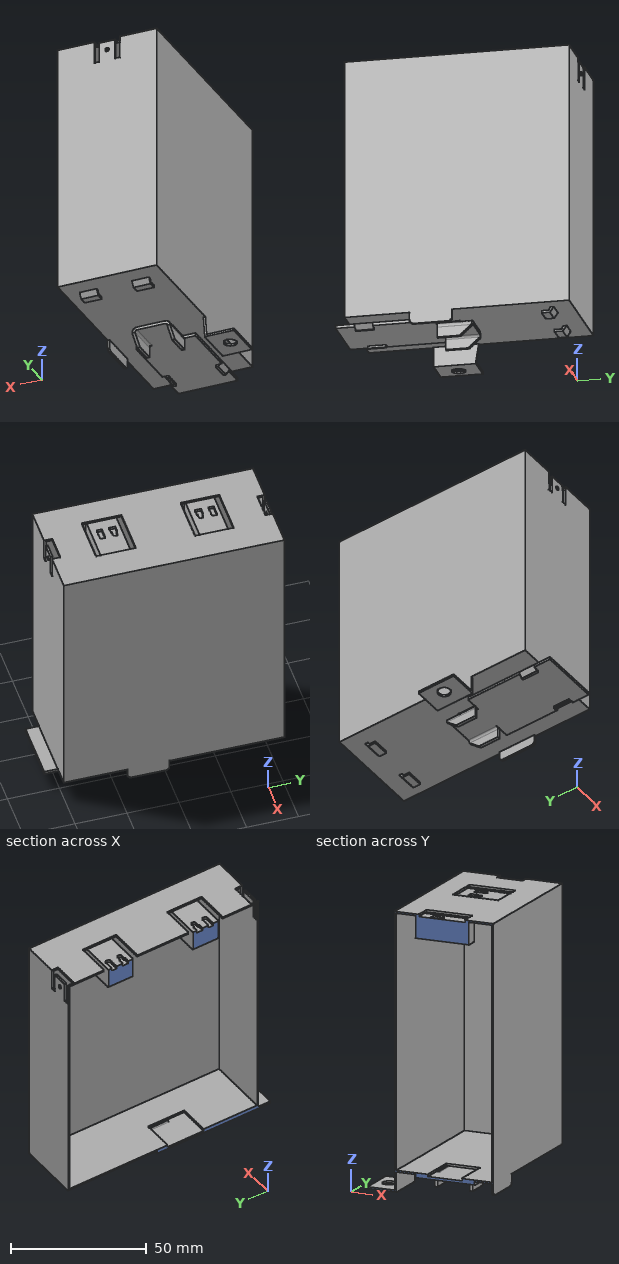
import cadquery as cq

WIDTH = 40.2
DEPTH = 85.0
HEIGHT = 100.0
WALL = 0.9
MID_X = WIDTH / 2
EMBED = WALL / 2

LATCH_WIDTH = 10.4
LATCH_SLOT_WIDTH = 2.0
LATCH_SLOT_DROP = 8.8
FRONT_LATCH_REACH = 3.2
BACK_LATCH_REACH = 2.8
LATCH_HOLE_DIAMETER = 1.5
LATCH_HOLE_DROP = 4.4

SOCKET_LEFT = 10.0
SOCKET_LENGTH = 18.5
SOCKET_GAP = 1.9
FRONT_SOCKET_START = 16.0
FRONT_SOCKET_END = 31.3
BACK_SOCKET_START = 54.1
BACK_SOCKET_END = 69.0
CONNECTOR_HEIGHT = 8.6
CONNECTOR_END_LAP = 1.6

CONTACT_LEFT = 14.4
CONTACT_LENGTH = 4.8
CONTACT_WIDTH = 2.0
CONTACT_DEPTH = 1.1
CONTACT_CORNER_RADIUS = 0.6
KEY_LENGTH = 2.5
KEY_WIDTH = 2.5
KEYED_STEM_WIDTH = 1.7
FRONT_PLAIN_Y = 21.4
FRONT_KEYED_Y = 26.4
BACK_KEYED_Y = 59.4
BACK_PLAIN_Y = 64.5

FLOOR_WINDOW_WIDTH = 13.7

BRACKET_DROP = 7.6
BRACKET_REACH = 11.0
BRACKET_FRONT = 24.6
BRACKET_BACK = 40.7
BRACKET_ROOT_BACK = 41.7
BRACKET_HOLE_DIAMETER = 5.1
BRACKET_HOLE_X = -5.9

TAB_DROP = 4.4
TAB_SLOPE = 1.0

PLATE_MID_X = 20.4
PLATE_WIDTH = 24.1
PLATE_THICKNESS = 1.2
PLATE_OVERHANG = 5.2
PLATE_BACK = 45.3
FITTING_DROP = 2.0

SIDE_TAB_FRONT = 2.0
SIDE_TAB_BACK = 8.9
SIDE_TAB_WIDTH = 2.5
SIDE_TAB_LEAN = 1.5

LUG_SPAN = 15.4
LUG_THICKNESS = 1.2
LUG_DROP = 6.0
LUG_FRONT = 32.3
LUG_TIP_BACK = 40.9

CLIP_SPAN = 28.1
CLIP_WIDTH = 6.9
CLIP_FRONT = 73.3
CLIP_BACK = 77.9
CLIP_BEND = 1.5
CLIP_SLOPE_WIDTH = 1.3


def block(x_start, x_end, y_start, y_end, z_start, z_end):
    size = (x_end - x_start, y_end - y_start, z_end - z_start)
    return cq.Workplane("XY").box(*size, centered=False).translate((x_start, y_start, z_start))


def side_profile(points, x_start, thickness):
    """Extrude a (Y, Z) outline along +X."""
    return cq.Workplane("YZ", origin=(x_start, 0, 0)).polyline(points).close().extrude(thickness)


def mirrored_pair(fitting):
    """Return the left fitting and its mirror image about the plate's centre plane."""
    return fitting.union(fitting.mirror("YZ", (PLATE_MID_X, 0, 0)))


def front_latch(reach):
    """Material removed around a latch tongue in the front wall."""
    left = MID_X - LATCH_WIDTH / 2
    right = MID_X + LATCH_WIDTH / 2
    cutter = block(left, right, 0, reach, HEIGHT - WALL, HEIGHT)
    for slot_left in (left, right - LATCH_SLOT_WIDTH):
        slot_right = slot_left + LATCH_SLOT_WIDTH
        slot = block(slot_left, slot_right, 0, WALL, HEIGHT - LATCH_SLOT_DROP, HEIGHT)
        cutter = cutter.union(slot)
    hole = (
        cq.Workplane("XZ", origin=(MID_X, 0, HEIGHT - LATCH_HOLE_DROP))
        .circle(LATCH_HOLE_DIAMETER / 2)
        .extrude(-WALL)
    )
    return cutter.union(hole)


def socket_window(y_start, y_end):
    """Rectangular opening through the top wall."""
    right = SOCKET_LEFT + SOCKET_LENGTH
    return block(SOCKET_LEFT, right, y_start, y_end, HEIGHT - WALL, HEIGHT)


def contact_slot(y, keyed):
    """Contact slot with a rounded right end and, when keyed, a wider left end."""
    top = HEIGHT - WALL
    bottom = top - CONTACT_DEPTH
    half_width = (KEYED_STEM_WIDTH if keyed else CONTACT_WIDTH) / 2
    right = CONTACT_LEFT + CONTACT_LENGTH
    slot = block(CONTACT_LEFT, right, y - half_width, y + half_width, bottom, top)
    slot = slot.edges("|Z and >X").fillet(CONTACT_CORNER_RADIUS)
    if keyed:
        key_right = CONTACT_LEFT + KEY_LENGTH
        key = block(CONTACT_LEFT, key_right, y - KEY_WIDTH / 2, y + KEY_WIDTH / 2, bottom, top)
        slot = slot.union(key)
    return slot


def connector(window_start, window_end, plain_y, keyed_y):
    """Connector block under a window, held by the top wall at its two ends."""
    left = SOCKET_LEFT - CONNECTOR_END_LAP
    right = SOCKET_LEFT + SOCKET_LENGTH + CONNECTOR_END_LAP
    top = HEIGHT - WALL
    y_start = window_start + SOCKET_GAP
    y_end = window_end - SOCKET_GAP
    body = block(left, right, y_start, y_end, top - CONNECTOR_HEIGHT, top)
    return body.cut(contact_slot(plain_y, False)).cut(contact_slot(keyed_y, True))


def floor_window():
    """Opening through the bottom wall, closed from below by the rail plate."""
    half_width = FLOOR_WINDOW_WIDTH / 2
    left = PLATE_MID_X - half_width
    right = PLATE_MID_X + half_width
    return block(left, right, BRACKET_FRONT, BRACKET_BACK, 0, WALL)


def mounting_bracket():
    """Angle bracket: a tapered upright and an outward flange with a hole."""
    upright_outline = [
        (BRACKET_FRONT, EMBED),
        (BRACKET_ROOT_BACK, EMBED),
        (BRACKET_ROOT_BACK, 0),
        (BRACKET_BACK, -BRACKET_DROP + WALL),
        (BRACKET_BACK, -BRACKET_DROP),
        (BRACKET_FRONT, -BRACKET_DROP),
    ]
    upright = side_profile(upright_outline, 0, WALL)
    flange_top = WALL - BRACKET_DROP
    flange = block(-BRACKET_REACH, WALL, BRACKET_FRONT, BRACKET_BACK, -BRACKET_DROP, flange_top)
    hole_y = (BRACKET_FRONT + BRACKET_BACK) / 2
    hole = (
        cq.Workplane("XY", origin=(BRACKET_HOLE_X, hole_y, -BRACKET_DROP))
        .circle(BRACKET_HOLE_DIAMETER / 2)
        .extrude(WALL)
    )
    return upright.union(flange).cut(hole)


def right_tab():
    """Flat tab in line with the right wall, bevelled at its lower corners."""
    outline = [
        (BRACKET_FRONT, EMBED),
        (BRACKET_BACK, EMBED),
        (BRACKET_BACK, TAB_SLOPE - TAB_DROP),
        (BRACKET_BACK - TAB_SLOPE, -TAB_DROP),
        (BRACKET_FRONT + TAB_SLOPE, -TAB_DROP),
        (BRACKET_FRONT, TAB_SLOPE - TAB_DROP),
    ]
    return side_profile(outline, WIDTH - WALL, WALL)


def rail_plate():
    """Flat plate that is narrower at the rear, between the lugs."""
    left = PLATE_MID_X - PLATE_WIDTH / 2
    right = PLATE_MID_X + PLATE_WIDTH / 2
    plate = block(left, right, -PLATE_OVERHANG, LUG_FRONT, -PLATE_THICKNESS, 0)
    side_gap = block(
        left, left + SIDE_TAB_WIDTH, SIDE_TAB_FRONT, SIDE_TAB_BACK, -PLATE_THICKNESS, 0
    )
    plate = plate.cut(mirrored_pair(side_gap))
    rear_half = LUG_SPAN / 2 - FITTING_DROP
    rear = block(
        PLATE_MID_X - rear_half, PLATE_MID_X + rear_half, LUG_FRONT, PLATE_BACK, -PLATE_THICKNESS, 0
    )
    return plate.union(rear)


def side_tabs():
    """Tabs that lean inward as they drop below the plate edges."""
    left = PLATE_MID_X - PLATE_WIDTH / 2
    inner = left + SIDE_TAB_WIDTH
    tab = (
        cq.Workplane("XZ", origin=(0, SIDE_TAB_FRONT, 0))
        .moveTo(left, 0)
        .lineTo(inner, 0)
        .lineTo(inner, -FITTING_DROP)
        .lineTo(left + SIDE_TAB_LEAN, -FITTING_DROP)
        .close()
        .extrude(SIDE_TAB_FRONT - SIDE_TAB_BACK)
    )
    return mirrored_pair(tab)


def lugs():
    """Lugs rolled down from the plate, with the rear edge cut at a slant."""
    left = PLATE_MID_X - LUG_SPAN / 2
    bend_end = left + FITTING_DROP
    inner_radius = FITTING_DROP - LUG_THICKNESS
    sheet = (
        cq.Workplane("XZ", origin=(0, LUG_FRONT, 0))
        .moveTo(bend_end, 0)
        .radiusArc((left, -FITTING_DROP), -FITTING_DROP)
        .lineTo(left, -LUG_DROP)
        .lineTo(left + LUG_THICKNESS, -LUG_DROP)
        .lineTo(left + LUG_THICKNESS, -FITTING_DROP)
        .radiusArc((bend_end, -LUG_THICKNESS), inner_radius)
        .close()
        .extrude(LUG_FRONT - PLATE_BACK)
    )
    slant = [
        (PLATE_BACK, -FITTING_DROP),
        (PLATE_BACK, -LUG_DROP),
        (LUG_TIP_BACK, -LUG_DROP),
    ]
    return mirrored_pair(sheet.cut(side_profile(slant, left, FITTING_DROP)))


def spring_clips():
    """Strips that slope down from the housing and then run level to the front."""
    outer_bend = CLIP_BACK - CLIP_BEND
    inner_back = CLIP_BACK - CLIP_SLOPE_WIDTH
    inner_bend = outer_bend - WALL / 2
    outline = [
        (CLIP_BACK, EMBED),
        (CLIP_BACK, 0),
        (outer_bend, -FITTING_DROP),
        (CLIP_FRONT, -FITTING_DROP),
        (CLIP_FRONT, WALL - FITTING_DROP),
        (inner_bend, WALL - FITTING_DROP),
        (inner_back, 0),
        (inner_back, EMBED),
    ]
    return mirrored_pair(side_profile(outline, PLATE_MID_X - CLIP_SPAN / 2, CLIP_WIDTH))


def housing():
    """Hollow sheet-metal box with its latch, socket and floor openings."""
    box = block(0, WIDTH, 0, DEPTH, 0, HEIGHT)
    box = box.cut(block(WALL, WIDTH - WALL, WALL, DEPTH - WALL, WALL, HEIGHT - WALL))
    box = box.cut(front_latch(FRONT_LATCH_REACH))
    box = box.cut(front_latch(BACK_LATCH_REACH).mirror("XZ").translate((0, DEPTH, 0)))
    box = box.cut(socket_window(FRONT_SOCKET_START, FRONT_SOCKET_END))
    box = box.cut(socket_window(BACK_SOCKET_START, BACK_SOCKET_END))
    return box.cut(floor_window())


result = housing()
for fitting in (
    connector(FRONT_SOCKET_START, FRONT_SOCKET_END, FRONT_PLAIN_Y, FRONT_KEYED_Y),
    connector(BACK_SOCKET_START, BACK_SOCKET_END, BACK_PLAIN_Y, BACK_KEYED_Y),
    mounting_bracket(),
    right_tab(),
    rail_plate(),
    side_tabs(),
    lugs(),
    spring_clips(),
):
    result = result.union(fitting)